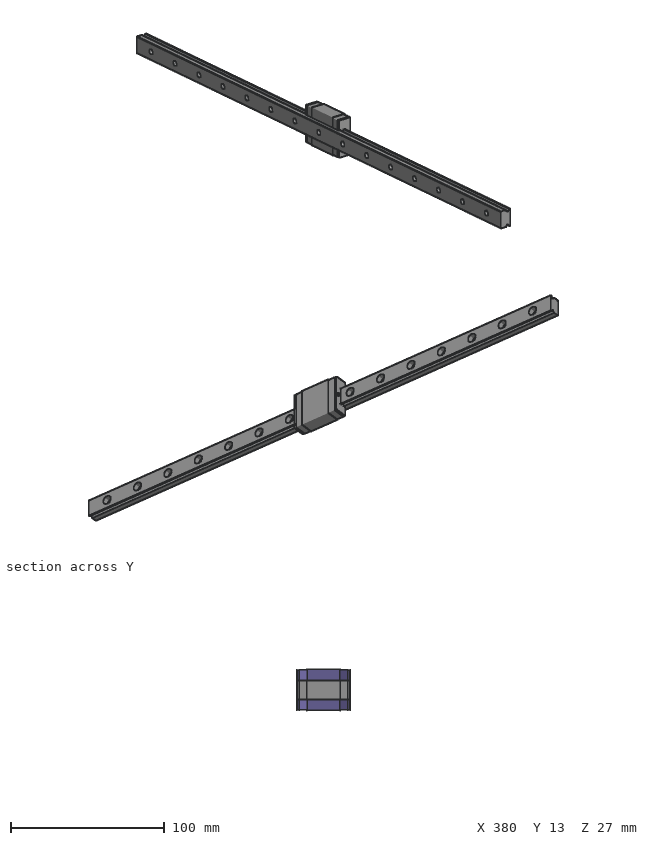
import cadquery as cq

rail_length = 380.0
rail_width = 12.0
rail_height = 8.0
rail_chamfer = 0.4

groove_low = 4.4
groove_high = 7.0
groove_depth = 1.4
groove_floor_width = 0.6

hole_count = 15
hole_pitch = 25.0
hole_diameter = 3.5
counterbore_diameter = 6.0
counterbore_depth = 4.5

carriage_length = 34.7
carriage_width = 27.0
carriage_bottom = 3.0
carriage_top = 13.0
running_clearance = 0.1

block_length = 21.7
block_fillet = 0.4

seal_thickness = 1.5
cap_length = (carriage_length - block_length) / 2 - seal_thickness
cap_inset = 0.3
seal_inset = 0.4
seal_bottom = carriage_bottom + 0.2
end_fillet = 0.5

port_diameter = 2.4
port_height = (rail_height + carriage_top) / 2


def rail_section(clearance):
    """Grooved rail section, grown by a clearance and extruded over the whole rail length."""
    side = rail_width / 2 + clearance
    low = groove_low + clearance
    high = groove_high - clearance
    middle = (low + high) / 2
    floor_half = groove_floor_width / 2
    half_outline = [
        (0, side - rail_chamfer),
        (rail_chamfer, side),
        (low, side),
        (middle - floor_half, side - groove_depth),
        (middle + floor_half, side - groove_depth),
        (high, side),
        (rail_height + clearance, side),
    ]
    other_half = [(y, -z) for y, z in reversed(half_outline)]
    section = cq.Workplane("YZ", origin=(-rail_length / 2, 0, 0))
    return section.polyline(half_outline + other_half).close().extrude(rail_length)


def make_rail():
    first_hole = -(hole_count - 1) / 2 * hole_pitch
    hole_spots = [(first_hole + i * hole_pitch, 0) for i in range(hole_count)]
    rail_top = cq.Workplane("XZ", origin=(0, rail_height, 0)).pushPoints(hole_spots)
    holes = rail_top.circle(hole_diameter / 2).extrude(rail_height)
    counterbores = rail_top.circle(counterbore_diameter / 2).extrude(counterbore_depth)
    return rail_section(0).cut(holes).cut(counterbores)


def carriage_slice(x_start, length, inset, bottom, fillet):
    """Length of carriage with rounded long edges, set in at the sides and top, fitted over the rail."""
    height = carriage_top - inset - bottom
    width = carriage_width - 2 * inset
    slab = cq.Workplane("XY").box(length, height, width, centered=(False, False, True))
    slab = slab.edges("|X").fillet(fillet).translate((x_start, bottom, 0))
    return slab.cut(rail_section(running_clearance))


def make_block():
    return carriage_slice(-block_length / 2, block_length, 0, carriage_bottom, block_fillet)


def make_cap():
    """End cap on the +X end of the block."""
    return carriage_slice(block_length / 2, cap_length, cap_inset, carriage_bottom, end_fillet)


def make_seal():
    """End seal on the outside of the +X cap."""
    x_start = block_length / 2 + cap_length
    port_plane = cq.Workplane("YZ", origin=(x_start, port_height, 0))
    port = port_plane.circle(port_diameter / 2).extrude(seal_thickness)
    return carriage_slice(x_start, seal_thickness, seal_inset, seal_bottom, end_fillet).cut(port)


bodies = [make_rail(), make_block()]
for make_end_part in (make_cap, make_seal):
    end_part = make_end_part()
    bodies.append(end_part)
    bodies.append(end_part.mirror("YZ"))

result = cq.Compound.makeCompound([body.solids().val() for body in bodies])